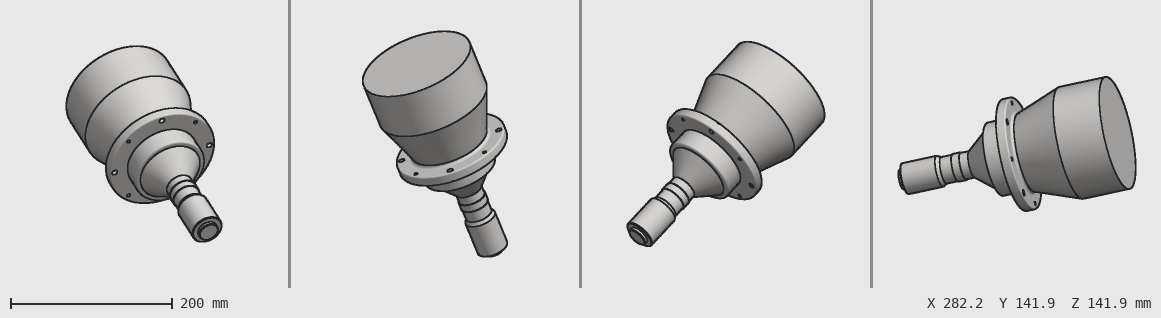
import cadquery as cq
import math

DRUM_RADIUS = 70.97
FLANGE_RADIUS = DRUM_RADIUS
WAIST_RADIUS = 49.7
CONE_END_RADIUS = 50.2
HUB_RADIUS = 46.5
NOSE_START_RADIUS = 40.0
SHAFT_RADIUS = 17.0
COLLAR_RADIUS = 17.8
GRIP_RADIUS = 19.8
TIP_RADIUS = 12.7

DRUM_END = 60.0
CONE_END = 116.8
FLANGE_START = 122.5
FLANGE_END = 135.5
HUB_END = 160.9
NOSE_END = 189.5
COLLAR_START = 201.0
COLLAR_END = 211.5
FLARE_START = 226.5
FLARE_END = 231.7
GRIP_END = 277.5
TIP_END = 282.2

ROOT_FILLET = 4.0
FLANGE_ROUND = 2.0
HUB_ROUND = 2.5
END_CHAMFER = 0.8

HOLE_CIRCLE_RADIUS = 63.8
LARGE_HOLE_DIAMETER = 7.0
SMALL_HOLE_DIAMETER = 4.2
HOLES_PER_SIZE = 4
SMALL_HOLE_OFFSET = 45


def round_corner(profile, start, end, center):
    """Add a quarter-circle from start to end, around center."""
    radius = math.dist(start, center)
    bulge_x = start[0] + end[0] - 2 * center[0]
    bulge_r = start[1] + end[1] - 2 * center[1]
    length = math.hypot(bulge_x, bulge_r)
    middle = (center[0] + radius * bulge_x / length, center[1] + radius * bulge_r / length)
    return profile.lineTo(*start).threePointArc(middle, end)


def make_body():
    """Revolve the half outline around the X axis."""
    profile = (
        cq.Workplane("XY")
        .lineTo(0, DRUM_RADIUS)
        .lineTo(DRUM_END, DRUM_RADIUS)
        .lineTo(CONE_END, CONE_END_RADIUS)
    )
    root_start = FLANGE_START - ROOT_FILLET
    root_top = WAIST_RADIUS + ROOT_FILLET
    profile = round_corner(
        profile, (root_start, WAIST_RADIUS), (FLANGE_START, root_top), (root_start, root_top)
    )
    rim = FLANGE_RADIUS - FLANGE_ROUND
    front = FLANGE_START + FLANGE_ROUND
    back = FLANGE_END - FLANGE_ROUND
    profile = round_corner(profile, (FLANGE_START, rim), (front, FLANGE_RADIUS), (front, rim))
    profile = round_corner(profile, (back, FLANGE_RADIUS), (FLANGE_END, rim), (back, rim))
    hub_x = HUB_END - HUB_ROUND
    hub_r = HUB_RADIUS - HUB_ROUND
    profile = profile.lineTo(FLANGE_END, HUB_RADIUS)
    profile = round_corner(profile, (hub_x, HUB_RADIUS), (HUB_END, hub_r), (hub_x, hub_r))
    return (
        profile.lineTo(HUB_END, NOSE_START_RADIUS)
        .lineTo(NOSE_END, SHAFT_RADIUS)
        .lineTo(COLLAR_START, SHAFT_RADIUS)
        .lineTo(COLLAR_START, COLLAR_RADIUS)
        .lineTo(COLLAR_END, COLLAR_RADIUS)
        .lineTo(COLLAR_END, SHAFT_RADIUS)
        .lineTo(FLARE_START, SHAFT_RADIUS)
        .lineTo(FLARE_END, GRIP_RADIUS)
        .lineTo(GRIP_END - END_CHAMFER, GRIP_RADIUS)
        .lineTo(GRIP_END, GRIP_RADIUS - END_CHAMFER)
        .lineTo(GRIP_END, TIP_RADIUS)
        .lineTo(TIP_END - END_CHAMFER, TIP_RADIUS)
        .lineTo(TIP_END, TIP_RADIUS - END_CHAMFER)
        .lineTo(TIP_END, 0)
        .close()
        .revolve(360, (0, 0, 0), (1, 0, 0))
    )


def make_flange_holes(diameter, start_angle):
    """Cylinders through the flange, evenly spaced on the hole circle."""
    return (
        cq.Workplane("YZ", origin=(FLANGE_START, 0, 0))
        .polarArray(HOLE_CIRCLE_RADIUS, start_angle, 360, HOLES_PER_SIZE)
        .circle(diameter / 2)
        .extrude(FLANGE_END - FLANGE_START)
    )


result = (
    make_body()
    .cut(make_flange_holes(LARGE_HOLE_DIAMETER, 0))
    .cut(make_flange_holes(SMALL_HOLE_DIAMETER, SMALL_HOLE_OFFSET))
)